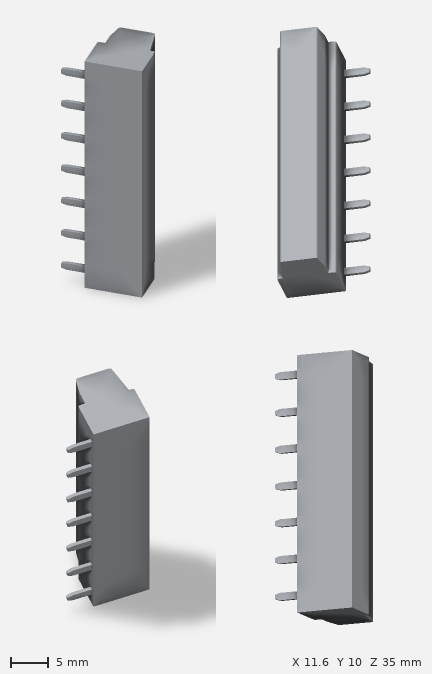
import cadquery as cq

row_length = 35.0
pin_count = 7
pitch = row_length / pin_count
end_length = pitch / 2
half_row = row_length / 2

housing_depth = 8.1
housing_height = 10.0
shelf_height = 5.5
shelf_left_width = 1.05
shelf_right_width = 0.75
upright_height = 7.42
crown_inset = 1.5
edge_radius = 0.3

pin_length = 3.5
pin_width = 1.0
pin_thickness = 0.52
pin_base_height = 0.5
tip_length = 0.77
tip_width = 0.6

middle_half = half_row - end_length
pin_centers = [i * pitch - middle_half for i in range(pin_count)]


def housing_block(z_low, z_high):
    """Stepped, tapered housing profile extruded along the row."""
    points = [
        (0, 0),
        (housing_depth, 0),
        (housing_depth, shelf_height),
        (housing_depth - shelf_right_width, shelf_height),
        (housing_depth - crown_inset, housing_height),
        (crown_inset, housing_height),
        (shelf_left_width, upright_height),
        (shelf_left_width, shelf_height),
        (0, shelf_height),
    ]
    rounded_corners = [points[2], points[4], points[5], points[8]]
    block = cq.Workplane("XY").workplane(offset=z_low).polyline(points).close().extrude(z_high - z_low)
    for x, y in rounded_corners:
        corner_edge = cq.selectors.NearestToPointSelector((x, y, (z_low + z_high) / 2))
        block = block.edges("|Z").edges(corner_edge).fillet(edge_radius)
    return block


def pin(z_center):
    """Flat pin pointing to -X, narrowed at its tip."""
    outline = [
        (0, -pin_width / 2),
        (0, pin_width / 2),
        (tip_length - pin_length, pin_width / 2),
        (-pin_length, tip_width / 2),
        (-pin_length, -tip_width / 2),
        (tip_length - pin_length, -pin_width / 2),
    ]
    return (
        cq.Workplane("XZ", origin=(0, pin_base_height, z_center))
        .polyline(outline)
        .close()
        .extrude(-pin_thickness)
    )


def row_section(z_low, z_high):
    """One body of the row: its housing block with the pins, or half pins, lying within it."""
    slab = cq.Workplane("XY").workplane(offset=z_low).rect(row_length, row_length).extrude(z_high - z_low)
    body = housing_block(z_low, z_high)
    for z_center in pin_centers:
        pin_top = z_center + pin_width / 2
        pin_bottom = z_center - pin_width / 2
        if pin_top > z_low and pin_bottom < z_high:
            body = body.union(pin(z_center).intersect(slab))
    return body


bottom_end = row_section(-half_row, -middle_half)
middle_section = row_section(-middle_half, middle_half)
top_end = row_section(middle_half, half_row)

result = cq.Compound.makeCompound([bottom_end.val(), middle_section.val(), top_end.val()])